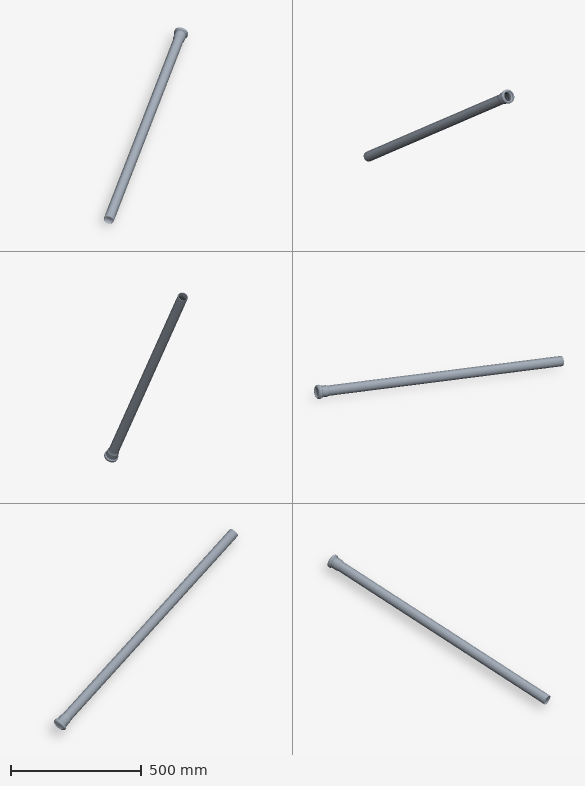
import cadquery as cq

length = 1045.0

bore_diameter = 37.0
pipe_diameter = 40.0
socket_bore_diameter = 41.0
socket_diameter = 45.0
groove_diameter = 50.0
bead_diameter = 54.0

bead_length = 17.0
socket_length = 40.0
taper_length = 8.0

bead_slope_length = 4.0
spigot_chamfer_length = 3.0
spigot_chamfer_depth = 0.5

spigot_end = -length / 2
mouth = length / 2
bead_back = mouth - bead_length
socket_back = mouth - socket_length
taper_back = socket_back - taper_length


def revolve_profile(points):
    """Turn a closed (radius, y) outline about the Y axis."""
    return cq.Workplane("XY").polyline(points).close().revolve(360, (0, 0, 0), (0, 1, 0))


def bead_outline(neck_radius, crest_radius):
    """Points of the seal bead, from its back to the mouth, sloping at both ends."""
    return [
        (neck_radius, bead_back),
        (crest_radius, bead_back + bead_slope_length),
        (crest_radius, mouth - bead_slope_length),
        (neck_radius, mouth),
    ]


def make_outer_body():
    """Pipe with a chamfered spigot, tapering out to the socket and its sloped bead."""
    pipe_radius = pipe_diameter / 2
    socket_radius = socket_diameter / 2
    return revolve_profile([
        (0, spigot_end),
        (pipe_radius - spigot_chamfer_depth, spigot_end),
        (pipe_radius, spigot_end + spigot_chamfer_length),
        (pipe_radius, taper_back),
        (socket_radius, socket_back),
        *bead_outline(socket_radius, bead_diameter / 2),
        (0, mouth),
    ])


def make_cavity():
    """Pipe bore, internal taper, socket bore and seal groove."""
    bore_radius = bore_diameter / 2
    socket_bore_radius = socket_bore_diameter / 2
    return revolve_profile([
        (0, spigot_end),
        (bore_radius, spigot_end),
        (bore_radius, taper_back),
        (socket_bore_radius, socket_back),
        *bead_outline(socket_bore_radius, groove_diameter / 2),
        (0, mouth),
    ])


result = make_outer_body().cut(make_cavity())